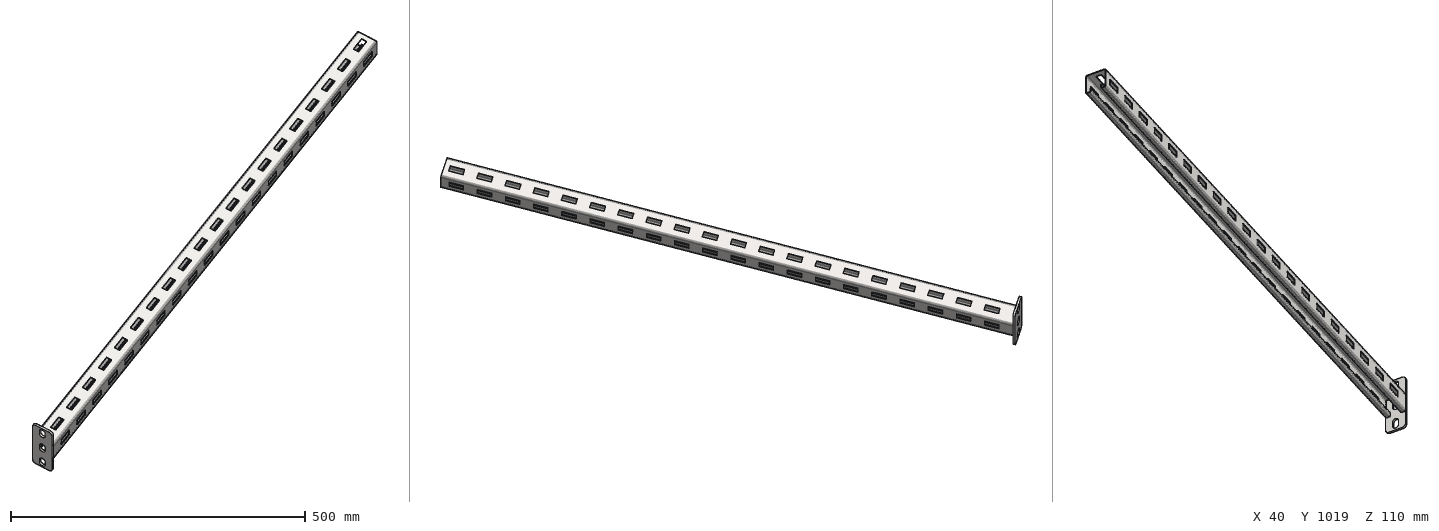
import cadquery as cq

total_length = 1019.0
plate_width = 40.0
plate_height = 110.0
plate_thickness = 4.0
plate_corner_radius = 7.0

plate_hole_width = 11.0
plate_hole_length = 20.0
plate_hole_spacing = 41.0
plate_hole_count = 3

channel_width = plate_width
channel_height = channel_width
channel_top_z = 17.0
channel_bottom_z = channel_top_z - channel_height
channel_centre_z = channel_top_z - channel_height / 2
sheet_thickness = 1.8
bend_radius = 3.0
lip_width = 10.0
lip_return_height = 8.0

slot_count = 20
slot_length = 25.0
top_slot_width = 10.0
side_slot_width = 12.0
top_slot_end_gap = 22.0
side_slot_end_gap = 28.0
slot_run = 950.0

free_end_y = total_length
channel_length = total_length - plate_thickness
slot_pitch = slot_run / (slot_count - 1)


def make_end_plate():
    """Upright plate with rounded corners and three slotted holes."""
    plate = (
        cq.Workplane("XZ")
        .rect(plate_width, plate_height)
        .extrude(-plate_thickness)
        .edges("|Y")
        .fillet(plate_corner_radius)
    )
    holes = (
        cq.Workplane("XZ")
        .rarray(10, plate_hole_spacing, 1, plate_hole_count)
        .slot2D(plate_hole_length, plate_hole_width, angle=90)
        .extrude(-plate_thickness)
    )
    return plate.cut(holes)


def rounded_bar(width, height, corner_radius, centre_x, centre_z):
    """Bar of the channel's length with its long edges rounded."""
    return (
        cq.Workplane("XZ", origin=(centre_x, plate_thickness, centre_z))
        .rect(width, height)
        .extrude(-channel_length)
        .edges("|Y")
        .fillet(corner_radius)
    )


def bent_tube(width, centre_x):
    """Closed tube of bent sheet, as tall and as long as the channel."""
    outside = rounded_bar(width, channel_height, bend_radius, centre_x, channel_centre_z)
    inside = rounded_bar(
        width - 2 * sheet_thickness,
        channel_height - 2 * sheet_thickness,
        bend_radius - sheet_thickness,
        centre_x,
        channel_centre_z,
    )
    return outside.cut(inside)


def make_slot_cutters():
    """List of cutters for the slots through the top web and through both side walls."""
    cutters = []
    for i in range(slot_count):
        top_y = free_end_y - top_slot_end_gap - i * slot_pitch
        side_y = free_end_y - side_slot_end_gap - i * slot_pitch
        top_cutter = cq.Workplane("XY").box(top_slot_width, slot_length, channel_height / 2)
        side_cutter = cq.Workplane("XY").box(channel_width, slot_length, side_slot_width)
        cutters.append(top_cutter.translate((0, top_y, channel_top_z)))
        cutters.append(side_cutter.translate((0, side_y, channel_centre_z)))
    return cutters


def make_channel():
    """Lipped channel that butts against the inner face of the end plate."""
    lip_zone = cq.Workplane("XY").box(
        channel_width, channel_length, lip_return_height, centered=(True, False, False)
    ).translate((0, plate_thickness, channel_bottom_z))
    channel = bent_tube(channel_width, 0).cut(lip_zone)
    for side in (-1, 1):
        lip_centre_x = side * (channel_width - lip_width) / 2
        channel = channel.union(bent_tube(lip_width, lip_centre_x).intersect(lip_zone))
    for cutter in make_slot_cutters():
        channel = channel.cut(cutter)
    return channel


end_plate = make_end_plate()
channel = make_channel()
result = cq.Compound.makeCompound([end_plate.val(), channel.val()])